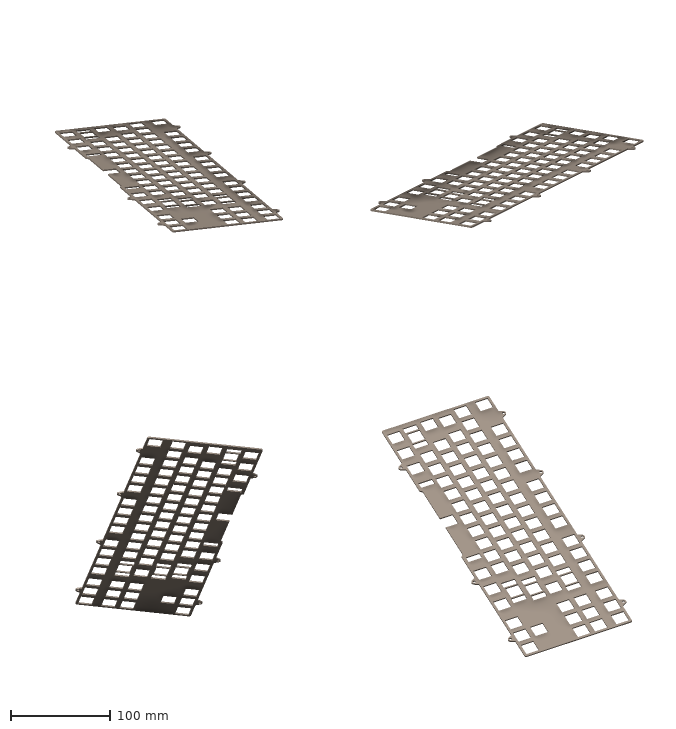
import cadquery as cq
import math

UNIT = 19.05
COLUMNS = 18.25
ROWS = 6.25
THICKNESS = 1.5
WIDTH = COLUMNS * UNIT
BODY_HEIGHT = ROWS * UNIT
CORNER_RADIUS = 2.0

SWITCH_SIZE = 14.0
STABILIZER_WIDTH = 7.0
STABILIZER_LENGTH = 15.0
STABILIZER_OFFSET = 0.5
WIDE_KEY_SPACING = 11.938
SPACE_STABILIZER_OFFSET = 1.25
SPACE_SPACING = 3 * UNIT

RECESS_DEPTH = UNIT / 2 - SWITCH_SIZE / 2
RECESS_HALF_WIDTH = 48.5
RECESS_SLOPE = 2.0

OVERALL_HEIGHT = 131.01
EAR_REACH = (OVERALL_HEIGHT - BODY_HEIGHT) / 2
EAR_RADIUS = 2.7
EAR_BASE_HALF_WIDTH = 5.0
EAR_OVERLAP = 1.0
EAR_HOLE_DIAMETER = 2.9
TOP_EARS = [1.5, 6.25, 11.5, 16.75]
BOTTOM_EARS = [2.875, 12.125, 16.75]

FUNCTION_ROW = 0.5
NUMBER_ROW = 1.75
TAB_ROW = NUMBER_ROW + 1
CAPS_ROW = NUMBER_ROW + 2
SHIFT_ROW = NUMBER_ROW + 3
SPACE_ROW = NUMBER_ROW + 4

NAVIGATION = [15.75, 16.75, 17.75]
ARROW_UP = 16.75
BACKSPACE = 14.0
ENTER = 13.875
LEFT_SHIFT = 1.125
RIGHT_SHIFT = 13.625
SPACE = 7.5


def key_run(first, count):
    """Centers of neighbouring 1u keys."""
    return [first + i for i in range(count)]


SWITCH_ROWS = {
    FUNCTION_ROW: [0.5] + key_run(2.5, 4) + key_run(7, 4) + key_run(11.5, 4) + NAVIGATION,
    NUMBER_ROW: key_run(0.5, 13) + [BACKSPACE] + NAVIGATION,
    TAB_ROW: [0.75] + key_run(2, 12) + [14.25] + NAVIGATION,
    CAPS_ROW: [0.625] + key_run(2.25, 11) + [ENTER],
    SHIFT_ROW: [LEFT_SHIFT] + key_run(2.75, 10) + [RIGHT_SHIFT, ARROW_UP],
    SPACE_ROW: [0.75, 2, 3.25, 11.75, 13, 14.25] + NAVIGATION,
}

STABILIZED_KEYS = [
    (BACKSPACE, NUMBER_ROW, WIDE_KEY_SPACING, -STABILIZER_OFFSET),
    (ENTER, CAPS_ROW, WIDE_KEY_SPACING, STABILIZER_OFFSET),
    (LEFT_SHIFT, SHIFT_ROW, WIDE_KEY_SPACING, -STABILIZER_OFFSET),
    (RIGHT_SHIFT, SHIFT_ROW, WIDE_KEY_SPACING, -STABILIZER_OFFSET),
    (SPACE, SPACE_ROW, SPACE_SPACING, SPACE_STABILIZER_OFFSET),
]


def plate_x(column):
    return column * UNIT - WIDTH / 2


def plate_y(row):
    return BODY_HEIGHT / 2 - row * UNIT


def body():
    plate = cq.Workplane("XY").box(WIDTH, BODY_HEIGHT, THICKNESS, centered=(True, True, False))
    return plate.edges("|Z").fillet(CORNER_RADIUS)


def ear(column, side):
    """Ear on the top edge (side = 1) or bottom edge (side = -1), with flanks tangent to its round tip."""
    center_height = EAR_REACH - EAR_RADIUS
    base_distance = math.hypot(EAR_BASE_HALF_WIDTH, center_height)
    angle = math.acos(EAR_RADIUS / base_distance) - math.atan2(center_height, EAR_BASE_HALF_WIDTH)
    touch_x = EAR_RADIUS * math.cos(angle)
    touch_y = side * (center_height + EAR_RADIUS * math.sin(angle))
    return (
        cq.Workplane("XY")
        .center(plate_x(column), side * BODY_HEIGHT / 2)
        .moveTo(-EAR_BASE_HALF_WIDTH, -side * EAR_OVERLAP)
        .lineTo(-EAR_BASE_HALF_WIDTH, 0)
        .lineTo(-touch_x, touch_y)
        .threePointArc((0, side * EAR_REACH), (touch_x, touch_y))
        .lineTo(EAR_BASE_HALF_WIDTH, 0)
        .lineTo(EAR_BASE_HALF_WIDTH, -side * EAR_OVERLAP)
        .close()
        .extrude(THICKNESS)
    )


def cut_through(plate, points, width, length):
    cutters = cq.Workplane("XY").pushPoints(points).rect(width, length).extrude(THICKNESS)
    return plate.cut(cutters)


def cut_ear_holes(plate):
    hole_y = BODY_HEIGHT / 2 + EAR_REACH - EAR_RADIUS
    points = [(plate_x(column), hole_y) for column in TOP_EARS]
    points += [(plate_x(column), -hole_y) for column in BOTTOM_EARS]
    return plate.cut(cq.Workplane("XY").pushPoints(points).circle(EAR_HOLE_DIAMETER / 2).extrude(THICKNESS))


def cut_switches(plate):
    points = [(plate_x(column), plate_y(row)) for row, columns in SWITCH_ROWS.items() for column in columns]
    return cut_through(plate, points, SWITCH_SIZE, SWITCH_SIZE)


def cut_stabilizers(plate):
    points = [
        (plate_x(column) + side * spacing, plate_y(row) + offset)
        for column, row, spacing, offset in STABILIZED_KEYS
        for side in (-1, 1)
    ]
    return cut_through(plate, points, STABILIZER_WIDTH, STABILIZER_LENGTH)


def cut_space_bar(plate):
    """Sloped-end recess in the bottom edge, and the space bar's switch notch opening into it."""
    x = plate_x(SPACE)
    bottom = -BODY_HEIGHT / 2
    recess = (
        cq.Workplane("XY")
        .moveTo(x - RECESS_HALF_WIDTH - RECESS_SLOPE, bottom)
        .lineTo(x - RECESS_HALF_WIDTH, bottom + RECESS_DEPTH)
        .lineTo(x + RECESS_HALF_WIDTH, bottom + RECESS_DEPTH)
        .lineTo(x + RECESS_HALF_WIDTH + RECESS_SLOPE, bottom)
        .close()
        .extrude(THICKNESS)
    )
    return cut_through(plate.cut(recess), [(x, plate_y(SPACE_ROW))], SWITCH_SIZE, SWITCH_SIZE)


plate = body()
for column in TOP_EARS:
    plate = plate.union(ear(column, 1))
for column in BOTTOM_EARS:
    plate = plate.union(ear(column, -1))
plate = cut_ear_holes(plate)
plate = cut_switches(plate)
plate = cut_stabilizers(plate)
result = cut_space_bar(plate)